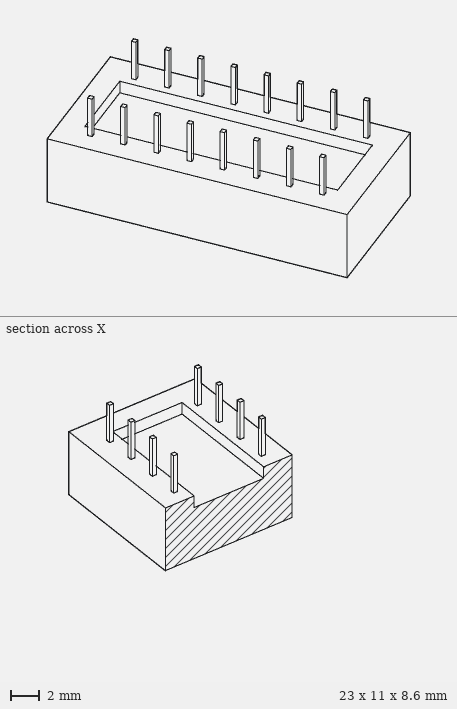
import cadquery as cq

body_length = 23.0
body_width = 11.0
overall_height = 8.6
pin_height = 3.2
body_height = overall_height - pin_height

recess_length = 19.37
recess_width = 6.03
recess_depth = 1.0

pins_per_row = 8
row_count = 2
row_length = 17.78
pin_pitch = row_length / (pins_per_row - 1)
row_spacing = 7.61
pin_side = 0.35


def make_body():
    """Block with the recess cut into its top face."""
    block = cq.Workplane("XY").box(body_length, body_width, body_height, centered=(True, True, False))
    return block.faces(">Z").workplane().rect(recess_length, recess_width).cutBlind(-recess_depth)


def add_pins(body):
    """Both rows of pins, extruded up from the rim."""
    return (
        body.faces(">Z")
        .workplane(origin=(0, 0, body_height))
        .rarray(pin_pitch, row_spacing, pins_per_row, row_count)
        .rect(pin_side, pin_side)
        .extrude(pin_height)
    )


result = add_pins(make_body())